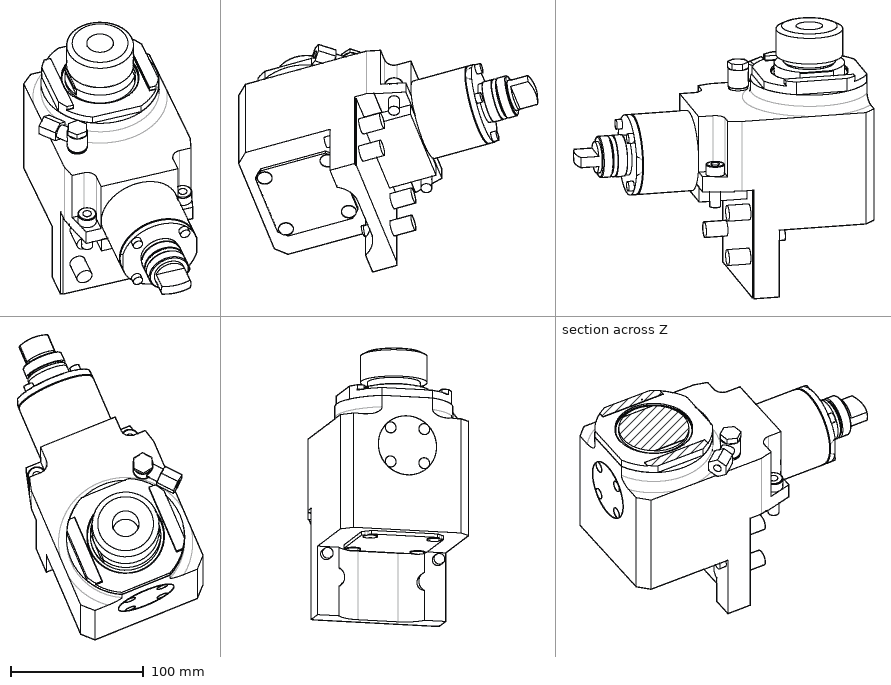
import cadquery as cq
import math


BLOCK_LEFT = -40.0
BLOCK_HALF_Y = 50.0
BLOCK_TOP = 35.8
BLOCK_BOTTOM = -52.1
CORNER_CHAMFER = 8.2

FLANGE_RIGHT = 93.2
FLANGE_BOTTOM = -19.8
FLANGE_PAD_RIGHT = 70.0
FLANGE_PAD_BOTTOM = -19.1
TAPER_START = 64.5
TAPER_END_HALF_Y = 42.4

LOCATOR_BOTTOM = -31.8
LOCATOR_RIGHT = 92.7
LOCATOR_HALF_Y = 30.0

FLANGE_BOLT_X = 82.3
FLANGE_BOLT_Y = 38.0
NOTCH_RADIUS = 7.5
NOTCH_FLOOR = -7.9
BOLT_HEAD_RADIUS = 7.0
BOLT_HEAD_HEIGHT = 8.0
BOLT_SHANK_RADIUS = 4.2
BOLT_TIP_Z = -33.3
SOCKET_RADIUS = 3.2
SOCKET_DEPTH = 4.0
BOLT_HEAD_CHAMFER = 0.6

PLATE_LEFT = 35.4
PLATE_RIGHT = 55.0
PLATE_BOTTOM = -104.8
PAD_THICKNESS = 0.7
PAD_HALF_Y = 48.0
CHANNEL_HALF_Y = 33.3
CHANNEL_FLOOR_HALF_Y = 15.6
CHANNEL_WALL_RADIUS = 20.0
PLATE_BOLT_Y = 36.7
PLATE_BOLT_ROWS = (-40.0, -74.9)
PLATE_BOLT_RADIUS = 6.0
PLATE_BOLT_TIP_X = 72.4
PLATE_BOLT_HEAD_RADIUS = 7.8
SIDE_SCREW_Y = 43.5
SIDE_SCREW_Z = -58.0
SIDE_SCREW_RADIUS = 4.15
SIDE_SCREW_HEIGHT = 5.4

COVER_HALF = 32.0
COVER_THICKNESS = 2.7
COVER_CHAMFER = 6.3
COVER_SCREW_OFFSET = 25.0
COVER_SCREW_RADIUS = 5.6
COVER_SCREW_HEIGHT = 0.6

CAP_RADIUS = 22.7
CAP_Z = 13.1
CAP_THICKNESS = 0.4
CAP_SCREW_OFFSET = 13.1
CAP_SCREW_RADIUS = 4.2
CAP_SCREW_RECESS = 0.2

TURRET_RADIUS = 44.6
TURRET_UPPER_RADIUS = 44.4
TURRET_UPPER_LEFT = -39.8
TURRET_UPPER_RIGHT = 40.0
TURRET_SHOULDER_Z = 50.6
TURRET_TOP = 56.6
TURRET_FLAT = 39.8
FLARE_RADIUS = 6.0
SEAL_RECESS_RADIUS = 29.3
SEAL_RECESS_DEPTH = 2.0
SEAL_RECESS_CHAMFER = 0.6
KEY_TOP = 60.6
KEY_INNER_Y = 30.3
KEY_HALF_LENGTH = 26.9
KEY_UNDERCUT = 0.5

COLLAR_RADIUS = 26.6
COLLAR_FLAT = 23.2
COLLAR_LIP_FLAT = 24.6
COLLAR_LIP_Z = 62.1
COLLAR_TOP = 62.8
NECK_RADIUS = 20.0
NECK_FOOT_RADIUS = 18.5
NECK_FOOT_TOP = 64.5
NUT_RADIUS = 25.2
NUT_BOTTOM = 69.2
NUT_TOP = 91.61
NUT_CHAMFER_HEIGHT = 2.2
NUT_CHAMFER_WIDTH = 4.2
BORE_RADIUS = 10.0
BORE_DEPTH = 25.0

SLEEVE_RADIUS = 30.4
SLEEVE_RIGHT = 141.2
SLEEVE_GROOVE_LEFT = 136.0
SLEEVE_GROOVE_RIGHT = 136.6
SLEEVE_GROOVE_DEPTH = 0.4
SLEEVE_FLAT_START_DROP = 0.3
SLEEVE_FLAT_END_DROP = 1.0
SLEEVE_SCREW_OFFSET = 18.8
SLEEVE_SCREW_RADIUS = 3.7
SLEEVE_SCREW_HEIGHT = 4.2
HUB_RADIUS = 15.1
HUB_RIGHT = 144.7
SHAFT_RADIUS = 15.7
SHAFT_RIGHT = 163.5
SHAFT_CHAMFER = 0.7
GROOVE_LEFT = 151.8
GROOVE_RIGHT = 156.0
GROOVE_FLOOR_RADIUS = 14.0
RING_WIDTH = 3.0
TANG_COLLAR_RIGHT = 166.0
TANG_RADIUS = 11.9
TANG_HALF_THICKNESS = 4.0
TANG_SIDE_END = 179.8
TANG_TIP_X = 182.01

NOZZLE_BOLT_X = 47.1
NOZZLE_BOLT_Y = -33.88
NOZZLE_COLLAR_RADIUS = 7.2
NOZZLE_COLLAR_TOP = 37.5
NOZZLE_BODY_RADIUS = 7.7
NOZZLE_BODY_TOP = 51.9
NOZZLE_HEAD_DIAMETER = 16.0
NOZZLE_AXIS_Z = 45.2
NOZZLE_ANGLE = 220.0
NOZZLE_PIPE_RADIUS = 5.25
NOZZLE_HEX_DIAMETER = 16.3
NOZZLE_HEX_START = 15.2
NOZZLE_REACH = 29.5
NOZZLE_HOLE_RADIUS = 3.0
NOZZLE_HOLE_DEPTH = 4.0


def box(x0, x1, y0, y1, z0, z1):
    """Box given by its limits along each axis."""
    return cq.Workplane("XY").box(x1 - x0, y1 - y0, z1 - z0, centered=False).translate((x0, y0, z0))


def rod_x(x0, x1, y, z, radius):
    """Cylinder along X."""
    return cq.Workplane("YZ", origin=(x0, y, z)).circle(radius).extrude(x1 - x0)


def rod_z(x, y, z0, z1, radius):
    """Cylinder along Z."""
    return cq.Workplane("XY", origin=(x, y, z0)).circle(radius).extrude(z1 - z0)


def corners(first, second):
    """The four sign combinations of a pair of offsets."""
    return [(side * first, end * second) for side in (-1, 1) for end in (-1, 1)]


def make_block():
    depth = 2 * BLOCK_HALF_Y
    front_outline = (
        cq.Workplane("XZ", origin=(0, BLOCK_HALF_Y, 0))
        .moveTo(BLOCK_LEFT, BLOCK_TOP)
        .lineTo(FLANGE_RIGHT, BLOCK_TOP)
        .lineTo(FLANGE_RIGHT, FLANGE_BOTTOM)
        .lineTo(FLANGE_PAD_RIGHT, FLANGE_BOTTOM)
        .lineTo(FLANGE_PAD_RIGHT, FLANGE_PAD_BOTTOM)
        .lineTo(PLATE_RIGHT, FLANGE_PAD_BOTTOM)
        .lineTo(PLATE_RIGHT, PLATE_BOTTOM)
        .lineTo(PLATE_LEFT, PLATE_BOTTOM)
        .lineTo(PLATE_LEFT, BLOCK_BOTTOM)
        .lineTo(BLOCK_LEFT, BLOCK_BOTTOM)
        .close()
        .extrude(depth)
    )
    plan = (
        cq.Workplane("XY", origin=(0, 0, PLATE_BOTTOM))
        .moveTo(BLOCK_LEFT, BLOCK_HALF_Y - CORNER_CHAMFER)
        .lineTo(BLOCK_LEFT + CORNER_CHAMFER, BLOCK_HALF_Y)
        .lineTo(TAPER_START, BLOCK_HALF_Y)
        .lineTo(FLANGE_RIGHT, TAPER_END_HALF_Y)
        .lineTo(FLANGE_RIGHT, 0)
        .lineTo(BLOCK_LEFT, 0)
        .close()
        .extrude(BLOCK_TOP - PLATE_BOTTOM)
    )
    plan = plan.union(plan.mirror("XZ"))
    locator = box(
        PLATE_RIGHT, LOCATOR_RIGHT, -LOCATOR_HALF_Y, LOCATOR_HALF_Y, LOCATOR_BOTTOM, FLANGE_PAD_BOTTOM
    )
    pad = box(
        PLATE_RIGHT, PLATE_RIGHT + PAD_THICKNESS, -PAD_HALF_Y, PAD_HALF_Y, PLATE_BOTTOM, FLANGE_PAD_BOTTOM
    )
    return front_outline.intersect(plan).union(locator).union(pad)


def make_channel():
    """Vertical channel in the plate: flat floor, walls curving out to the plate face."""
    run = CHANNEL_HALF_Y - CHANNEL_FLOOR_HALF_Y
    depth = CHANNEL_WALL_RADIUS - math.sqrt(CHANNEL_WALL_RADIUS**2 - run**2)
    mid_run = run / 2
    mid_rise = CHANNEL_WALL_RADIUS - math.sqrt(CHANNEL_WALL_RADIUS**2 - mid_run**2)
    floor_x = PLATE_LEFT + depth
    mid_y = CHANNEL_FLOOR_HALF_Y + mid_run
    return (
        cq.Workplane("XY", origin=(0, 0, PLATE_BOTTOM))
        .moveTo(PLATE_LEFT, -CHANNEL_HALF_Y)
        .threePointArc((floor_x - mid_rise, -mid_y), (floor_x, -CHANNEL_FLOOR_HALF_Y))
        .lineTo(floor_x, CHANNEL_FLOOR_HALF_Y)
        .threePointArc((floor_x - mid_rise, mid_y), (PLATE_LEFT, CHANNEL_HALF_Y))
        .close()
        .extrude(BLOCK_BOTTOM - PLATE_BOTTOM)
    )


def add_plate_fasteners(body):
    body = body.cut(make_channel())
    for side in (-1, 1):
        bolt_y = side * PLATE_BOLT_Y
        for bolt_z in PLATE_BOLT_ROWS:
            body = body.union(rod_x(PLATE_RIGHT, PLATE_BOLT_TIP_X, bolt_y, bolt_z, PLATE_BOLT_RADIUS))
        head_z = PLATE_BOLT_ROWS[-1]
        body = body.union(rod_x(PLATE_LEFT, PLATE_RIGHT, bolt_y, head_z, PLATE_BOLT_HEAD_RADIUS))
        screw_left = PLATE_LEFT - SIDE_SCREW_HEIGHT
        screw_y = side * SIDE_SCREW_Y
        body = body.union(rod_x(screw_left, PLATE_LEFT, screw_y, SIDE_SCREW_Z, SIDE_SCREW_RADIUS))
    return body


def make_notch():
    """Corner notch on the +Y side of the flange, rounded around the bolt."""
    inner_y = FLANGE_BOLT_Y - NOTCH_RADIUS
    left_x = FLANGE_BOLT_X - NOTCH_RADIUS
    diagonal = NOTCH_RADIUS * math.sqrt(0.5)
    return (
        cq.Workplane("XY", origin=(0, 0, NOTCH_FLOOR))
        .moveTo(left_x, BLOCK_HALF_Y)
        .lineTo(left_x, FLANGE_BOLT_Y)
        .threePointArc((FLANGE_BOLT_X - diagonal, FLANGE_BOLT_Y - diagonal), (FLANGE_BOLT_X, inner_y))
        .lineTo(FLANGE_RIGHT, inner_y)
        .lineTo(FLANGE_RIGHT, BLOCK_HALF_Y)
        .close()
        .extrude(BLOCK_TOP - NOTCH_FLOOR)
    )


def add_flange_bolts(body):
    notch = make_notch()
    body = body.cut(notch).cut(notch.mirror("XZ"))
    head_top = NOTCH_FLOOR + BOLT_HEAD_HEIGHT
    for bolt_y in (-FLANGE_BOLT_Y, FLANGE_BOLT_Y):
        head = rod_z(FLANGE_BOLT_X, bolt_y, NOTCH_FLOOR, head_top, BOLT_HEAD_RADIUS)
        head = head.faces(">Z").chamfer(BOLT_HEAD_CHAMFER)
        shank = rod_z(FLANGE_BOLT_X, bolt_y, BOLT_TIP_Z, NOTCH_FLOOR, BOLT_SHANK_RADIUS)
        socket_tip = cq.Vector(FLANGE_BOLT_X, bolt_y, head_top - SOCKET_DEPTH)
        socket = cq.Workplane(cq.Solid.makeCone(0, SOCKET_RADIUS, SOCKET_DEPTH, pnt=socket_tip))
        body = body.union(head).union(shank).cut(socket)
    return body


def add_bottom_cover(body):
    cover_bottom = BLOCK_BOTTOM - COVER_THICKNESS
    cover = box(-COVER_HALF, COVER_HALF, -COVER_HALF, COVER_HALF, cover_bottom, BLOCK_BOTTOM)
    body = body.union(cover.edges("|Z").chamfer(COVER_CHAMFER))
    for x, y in corners(COVER_SCREW_OFFSET, COVER_SCREW_OFFSET):
        screw_bottom = cover_bottom - COVER_SCREW_HEIGHT
        body = body.union(rod_z(x, y, screw_bottom, BLOCK_BOTTOM, COVER_SCREW_RADIUS))
    return body


def add_side_cap(body):
    cap_left = BLOCK_LEFT - CAP_THICKNESS
    cap = rod_x(cap_left, BLOCK_LEFT, 0, CAP_Z, CAP_RADIUS)
    for y, z in corners(CAP_SCREW_OFFSET, CAP_SCREW_OFFSET):
        cap = cap.cut(rod_x(cap_left, cap_left + CAP_SCREW_RECESS, y, CAP_Z + z, CAP_SCREW_RADIUS))
    return body.union(cap)


def make_turret():
    flare_mid = FLARE_RADIUS * (1 - math.sqrt(0.5))
    base = (
        cq.Workplane("XZ")
        .moveTo(0, BLOCK_TOP)
        .lineTo(TURRET_RADIUS + FLARE_RADIUS, BLOCK_TOP)
        .threePointArc(
            (TURRET_RADIUS + flare_mid, BLOCK_TOP + flare_mid),
            (TURRET_RADIUS, BLOCK_TOP + FLARE_RADIUS),
        )
        .lineTo(TURRET_RADIUS, TURRET_SHOULDER_Z)
        .lineTo(0, TURRET_SHOULDER_Z)
        .close()
        .revolve(360, (0, 0, 0), (0, 1, 0))
    )
    reach = TURRET_RADIUS + FLARE_RADIUS
    base = base.intersect(box(BLOCK_LEFT, reach, -BLOCK_HALF_Y, BLOCK_HALF_Y, BLOCK_TOP, TURRET_SHOULDER_Z))

    upper = rod_z(0, 0, TURRET_SHOULDER_Z, KEY_TOP, TURRET_UPPER_RADIUS)
    level = box(
        TURRET_UPPER_LEFT, TURRET_UPPER_RIGHT, -TURRET_FLAT, TURRET_FLAT, TURRET_SHOULDER_Z, TURRET_TOP
    )
    key_foot_top = TURRET_TOP + KEY_UNDERCUT
    keys = box(-KEY_HALF_LENGTH, KEY_HALF_LENGTH, KEY_INNER_Y, TURRET_FLAT, key_foot_top, KEY_TOP)
    foot_half_length = KEY_HALF_LENGTH - KEY_UNDERCUT
    foot_inner_y = KEY_INNER_Y + KEY_UNDERCUT
    keys = keys.union(
        box(-foot_half_length, foot_half_length, foot_inner_y, TURRET_FLAT, TURRET_TOP, key_foot_top)
    )
    keys = keys.union(keys.mirror("XZ"))
    recess = rod_z(0, 0, TURRET_TOP - SEAL_RECESS_DEPTH, TURRET_TOP, SEAL_RECESS_RADIUS)
    recess = recess.faces("<Z").chamfer(SEAL_RECESS_CHAMFER)
    return base.union(upper.intersect(level.union(keys))).cut(recess)


def make_spindle():
    foot = rod_z(0, 0, TURRET_TOP - SEAL_RECESS_DEPTH, TURRET_TOP, COLLAR_RADIUS)
    collar = rod_z(0, 0, TURRET_TOP, COLLAR_TOP, COLLAR_RADIUS)
    waist = box(-COLLAR_RADIUS, COLLAR_RADIUS, -COLLAR_FLAT, COLLAR_FLAT, TURRET_TOP, COLLAR_LIP_Z)
    lip = box(
        -COLLAR_RADIUS, COLLAR_RADIUS, -COLLAR_LIP_FLAT, COLLAR_LIP_FLAT, COLLAR_LIP_Z, COLLAR_TOP
    )
    collar = collar.intersect(waist.union(lip))
    nut = (
        cq.Workplane("XZ")
        .moveTo(0, COLLAR_TOP)
        .lineTo(NECK_FOOT_RADIUS, COLLAR_TOP)
        .lineTo(NECK_RADIUS, NECK_FOOT_TOP)
        .lineTo(NECK_RADIUS, NUT_BOTTOM)
        .lineTo(NUT_RADIUS, NUT_BOTTOM)
        .lineTo(NUT_RADIUS, NUT_TOP - NUT_CHAMFER_HEIGHT)
        .lineTo(NUT_RADIUS - NUT_CHAMFER_WIDTH, NUT_TOP)
        .lineTo(0, NUT_TOP)
        .close()
        .revolve(360, (0, 0, 0), (0, 1, 0))
    )
    bore = rod_z(0, 0, NUT_TOP - BORE_DEPTH, NUT_TOP, BORE_RADIUS)
    return foot.union(collar).union(nut).cut(bore)


def make_sleeve():
    groove_floor = SLEEVE_RADIUS - SLEEVE_GROOVE_DEPTH
    sleeve = (
        rod_x(FLANGE_RIGHT, SLEEVE_GROOVE_LEFT, 0, 0, SLEEVE_RADIUS)
        .union(rod_x(SLEEVE_GROOVE_LEFT, SLEEVE_GROOVE_RIGHT, 0, 0, groove_floor))
        .union(rod_x(SLEEVE_GROOVE_RIGHT, SLEEVE_RIGHT, 0, 0, SLEEVE_RADIUS))
    )
    side_flat = (
        cq.Workplane("XY", origin=(0, 0, -SLEEVE_RADIUS))
        .moveTo(SLEEVE_GROOVE_RIGHT, SLEEVE_RADIUS)
        .lineTo(SLEEVE_GROOVE_RIGHT, SLEEVE_RADIUS - SLEEVE_FLAT_START_DROP)
        .lineTo(SLEEVE_RIGHT, SLEEVE_RADIUS - SLEEVE_FLAT_END_DROP)
        .lineTo(SLEEVE_RIGHT, SLEEVE_RADIUS)
        .close()
        .extrude(2 * SLEEVE_RADIUS)
    )
    sleeve = sleeve.cut(side_flat).cut(side_flat.mirror("XZ"))
    for y, z in corners(SLEEVE_SCREW_OFFSET, SLEEVE_SCREW_OFFSET):
        screw_right = SLEEVE_RIGHT + SLEEVE_SCREW_HEIGHT
        sleeve = sleeve.union(rod_x(SLEEVE_RIGHT, screw_right, y, z, SLEEVE_SCREW_RADIUS))
    return sleeve


def make_shaft():
    ring_right = GROOVE_LEFT + RING_WIDTH
    shaft = (
        cq.Workplane("XY")
        .moveTo(SLEEVE_RIGHT, 0)
        .lineTo(SLEEVE_RIGHT, HUB_RADIUS)
        .lineTo(HUB_RIGHT, HUB_RADIUS)
        .lineTo(HUB_RIGHT, SHAFT_RADIUS)
        .lineTo(GROOVE_LEFT, SHAFT_RADIUS)
        .lineTo(GROOVE_LEFT, GROOVE_FLOOR_RADIUS)
        .threePointArc((GROOVE_LEFT + RING_WIDTH / 2, SHAFT_RADIUS), (ring_right, GROOVE_FLOOR_RADIUS))
        .lineTo(GROOVE_RIGHT, GROOVE_FLOOR_RADIUS)
        .lineTo(GROOVE_RIGHT, SHAFT_RADIUS)
        .lineTo(SHAFT_RIGHT - SHAFT_CHAMFER, SHAFT_RADIUS)
        .lineTo(SHAFT_RIGHT, SHAFT_RADIUS - SHAFT_CHAMFER)
        .lineTo(SHAFT_RIGHT, TANG_RADIUS)
        .lineTo(TANG_COLLAR_RIGHT, TANG_RADIUS)
        .lineTo(TANG_COLLAR_RIGHT, 0)
        .close()
        .revolve(360, (0, 0, 0), (1, 0, 0))
    )
    dome_rise = TANG_TIP_X - TANG_SIDE_END
    dome_radius = (TANG_RADIUS**2 + dome_rise**2) / (2 * dome_rise)
    half_angle = math.asin(TANG_RADIUS / dome_radius) / 2
    dome_centre_x = TANG_TIP_X - dome_radius
    dome_mid = (
        dome_centre_x + dome_radius * math.cos(half_angle),
        dome_radius * math.sin(half_angle),
    )
    rod = (
        cq.Workplane("XY")
        .moveTo(TANG_COLLAR_RIGHT, 0)
        .lineTo(TANG_COLLAR_RIGHT, TANG_RADIUS)
        .lineTo(TANG_SIDE_END, TANG_RADIUS)
        .threePointArc(dome_mid, (TANG_TIP_X, 0))
        .close()
        .revolve(360, (0, 0, 0), (1, 0, 0))
    )
    blade = box(
        TANG_COLLAR_RIGHT, TANG_TIP_X, -TANG_RADIUS, TANG_RADIUS, -TANG_HALF_THICKNESS, TANG_HALF_THICKNESS
    )
    return shaft.union(rod.intersect(blade))


def make_nozzle():
    collar = rod_z(0, 0, BLOCK_TOP, NOZZLE_COLLAR_TOP, NOZZLE_COLLAR_RADIUS)
    body = rod_z(0, 0, NOZZLE_COLLAR_TOP, NOZZLE_BODY_TOP, NOZZLE_BODY_RADIUS)
    head = (
        cq.Workplane("XY", origin=(0, 0, NOZZLE_BODY_TOP))
        .polygon(6, NOZZLE_HEAD_DIAMETER)
        .extrude(TURRET_TOP - NOZZLE_BODY_TOP)
    )
    pipe = rod_x(0, NOZZLE_HEX_START, 0, NOZZLE_AXIS_Z, NOZZLE_PIPE_RADIUS)
    hexagon = (
        cq.Workplane("YZ", origin=(NOZZLE_HEX_START, 0, NOZZLE_AXIS_Z))
        .transformed(rotate=(0, 0, 90))
        .polygon(6, NOZZLE_HEX_DIAMETER)
        .extrude(NOZZLE_REACH - NOZZLE_HEX_START)
    )
    hole_tip = cq.Vector(NOZZLE_REACH - NOZZLE_HOLE_DEPTH, 0, NOZZLE_AXIS_Z)
    hole = cq.Workplane(
        cq.Solid.makeCone(0, NOZZLE_HOLE_RADIUS, NOZZLE_HOLE_DEPTH, pnt=hole_tip, dir=cq.Vector(1, 0, 0))
    )
    nozzle = collar.union(body).union(head).union(pipe).union(hexagon).cut(hole)
    return nozzle.rotate((0, 0, 0), (0, 0, 1), NOZZLE_ANGLE).translate((NOZZLE_BOLT_X, NOZZLE_BOLT_Y, 0))


housing = make_block()
housing = add_plate_fasteners(housing)
housing = add_flange_bolts(housing)
housing = add_bottom_cover(housing)
housing = add_side_cap(housing)

result = (
    housing.union(make_turret())
    .union(make_spindle())
    .union(make_sleeve())
    .union(make_shaft())
    .union(make_nozzle())
)